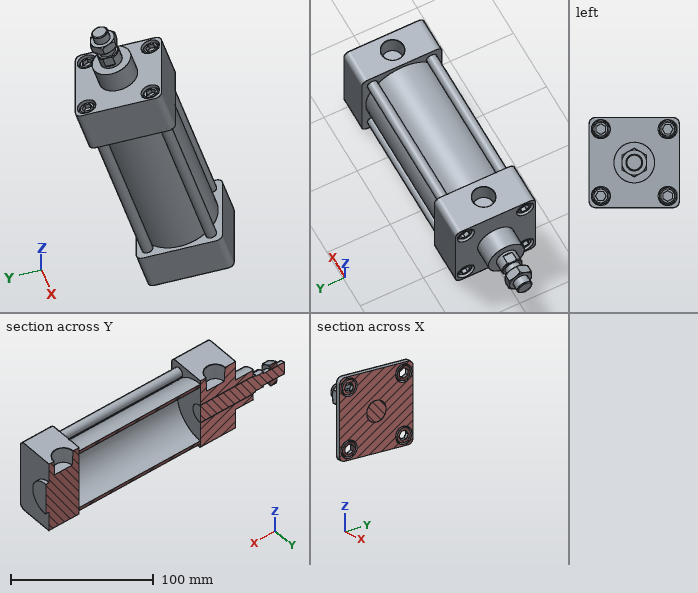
import cadquery as cq
import math

HEX_CORNER_RATIO = 1 / math.cos(math.pi / 6)

NUT_START = 6.7
ROD_SHOULDER_X = 19.0
BOSS_FACE_X = 28.0
HEAD_FRONT_X = 44.3
HEAD_BACK_X = 76.2
CAP_FRONT_X = 185.7
CAP_BACK_X = 212.9
TOTAL_LENGTH = 216.0

BLOCK_SIDE = 63.5
BLOCK_CORNER_RADIUS = 4.7
BOSS_DIAMETER = 28.5

HEAD_PORT_X = 62.5
CAP_PORT_X = 199.7
PORT_MOUTH_CHAMFER = 0.2
PORT_TOP_DIAMETER = 16.8
PORT_FLOOR_DIAMETER = 15.3
PORT_DEPTH = 13.0

TUBE_DIAMETER = 57.2
TUBE_BORE = 50.7

ROD_DIAMETER = 16.0
ROD_THREAD_DIAMETER = 11.7
ROD_CHAMFER = 0.6
ROD_FLATS_WIDTH = 14.2
ROD_FLATS_LENGTH = 7.1

NUT_ACROSS_FLATS = 17.5
NUT_THICKNESS = 6.7
NUT_CHAMFER_ANGLE = 30.0

TIE_ROD_SPACING = 46.9
TIE_ROD_DIAMETER = 8.0
TIE_ROD_HEAD_DIAMETER = 11.7
TIE_ROD_HEAD_LENGTH = 6.5
TIE_ROD_HEAD_CHAMFER = 0.97
TIE_ROD_HEAD_RECESS = 1.0
TIE_ROD_ENGAGEMENT = 13.0
SOCKET_ACROSS_FLATS = 6.5
SOCKET_DEPTH = 3.2
COUNTERBORE_DIAMETER = 13.4
COUNTERBORE_DEPTH = TIE_ROD_HEAD_RECESS + TIE_ROD_HEAD_LENGTH

TIE_ROD_HEAD_X = HEAD_FRONT_X + TIE_ROD_HEAD_RECESS
TIE_ROD_END_X = CAP_FRONT_X + TIE_ROD_ENGAGEMENT
TIE_ROD_CENTERS = [
    (y_side * TIE_ROD_SPACING / 2, z_side * TIE_ROD_SPACING / 2)
    for y_side in (-1, 1)
    for z_side in (-1, 1)
]


def section_plane(x):
    """YZ plane at station x: sketches use (Y, Z) and extrude toward +X."""
    return cq.Workplane("YZ", origin=(x, 0, 0))


def cylinder(start_x, end_x, diameter, center=(0, 0)):
    return section_plane(start_x).center(*center).circle(diameter / 2).extrude(end_x - start_x)


def hexagon(start_x, end_x, across_flats, center=(0, 0), corner_on_z=True):
    """Hexagonal prism along X with two corners on its Z axis, or on its Y axis."""
    turn = 90 if corner_on_z else 0
    prism = (
        section_plane(start_x)
        .polygon(6, across_flats * HEX_CORNER_RATIO)
        .extrude(end_x - start_x)
        .rotate((0, 0, 0), (1, 0, 0), turn)
    )
    return prism.translate((0, *center))


def end_block(start_x, end_x):
    return (
        section_plane(start_x)
        .rect(BLOCK_SIDE, BLOCK_SIDE)
        .extrude(end_x - start_x)
        .edges("|X")
        .fillet(BLOCK_CORNER_RADIUS)
    )


def port_cutter(x):
    """Blind port with a chamfered mouth, tapering toward its floor, as a solid to remove from a block."""
    top = BLOCK_SIDE / 2
    profile = [
        (0, top),
        (PORT_TOP_DIAMETER / 2 + PORT_MOUTH_CHAMFER, top),
        (PORT_TOP_DIAMETER / 2, top - PORT_MOUTH_CHAMFER),
        (PORT_FLOOR_DIAMETER / 2, top - PORT_DEPTH),
        (0, top - PORT_DEPTH),
    ]
    return cq.Workplane("XZ").polyline(profile).close().revolve(360).translate((x, 0, 0))


def make_head():
    head = end_block(HEAD_FRONT_X, HEAD_BACK_X)
    head = head.union(cylinder(BOSS_FACE_X, HEAD_FRONT_X, BOSS_DIAMETER))
    head = head.cut(cylinder(BOSS_FACE_X, HEAD_BACK_X, ROD_DIAMETER))
    head = head.cut(port_cutter(HEAD_PORT_X))
    counterbore_floor_x = HEAD_FRONT_X + COUNTERBORE_DEPTH
    for center in TIE_ROD_CENTERS:
        head = head.cut(cylinder(HEAD_FRONT_X, counterbore_floor_x, COUNTERBORE_DIAMETER, center))
        head = head.cut(cylinder(counterbore_floor_x, HEAD_BACK_X, TIE_ROD_DIAMETER, center))
    return head


def make_cap():
    cap = end_block(CAP_FRONT_X, CAP_BACK_X)
    cap = cap.union(cylinder(CAP_BACK_X, TOTAL_LENGTH, BOSS_DIAMETER))
    cap = cap.cut(port_cutter(CAP_PORT_X))
    for center in TIE_ROD_CENTERS:
        cap = cap.cut(cylinder(CAP_FRONT_X, TIE_ROD_END_X, TIE_ROD_DIAMETER, center))
    return cap


def make_tube():
    bore = cylinder(HEAD_BACK_X, CAP_FRONT_X, TUBE_BORE)
    return cylinder(HEAD_BACK_X, CAP_FRONT_X, TUBE_DIAMETER).cut(bore)


def make_piston_rod():
    thread = cylinder(0, ROD_SHOULDER_X, ROD_THREAD_DIAMETER).faces("<X").chamfer(ROD_CHAMFER)
    shank = cylinder(ROD_SHOULDER_X, HEAD_BACK_X, ROD_DIAMETER).faces("<X").chamfer(ROD_CHAMFER)
    flats_start = section_plane(ROD_SHOULDER_X)
    full_block = flats_start.rect(ROD_DIAMETER, ROD_DIAMETER).extrude(ROD_FLATS_LENGTH)
    kept_block = flats_start.rect(ROD_DIAMETER, ROD_FLATS_WIDTH).extrude(ROD_FLATS_LENGTH)
    return thread.union(shank.cut(full_block.cut(kept_block)))


def make_nut():
    """Hexagonal nut whose corners are cut back by a cone on both faces."""
    nut_end = NUT_START + NUT_THICKNESS
    face_radius = NUT_ACROSS_FLATS / 2
    corner_radius = face_radius * HEX_CORNER_RATIO
    setback = (corner_radius - face_radius) * math.tan(math.radians(NUT_CHAMFER_ANGLE))
    envelope_profile = [
        (NUT_START, 0),
        (NUT_START, face_radius),
        (NUT_START + setback, corner_radius),
        (nut_end - setback, corner_radius),
        (nut_end, face_radius),
        (nut_end, 0),
    ]
    envelope = cq.Workplane("XY").polyline(envelope_profile).close().revolve(360, (0, 0), (1, 0))
    blank = hexagon(NUT_START, nut_end, NUT_ACROSS_FLATS).intersect(envelope)
    return blank.cut(cylinder(NUT_START, nut_end, ROD_THREAD_DIAMETER))


def make_tie_rod(center):
    """Socket-head tie rod; its socket is turned a quarter turn from its neighbours'."""
    y, z = center
    shank_start_x = TIE_ROD_HEAD_X + TIE_ROD_HEAD_LENGTH
    head = cylinder(TIE_ROD_HEAD_X, shank_start_x, TIE_ROD_HEAD_DIAMETER, center)
    head = head.faces("<X").chamfer(TIE_ROD_HEAD_CHAMFER)
    shank = cylinder(shank_start_x, TIE_ROD_END_X, TIE_ROD_DIAMETER, center)
    socket = hexagon(
        TIE_ROD_HEAD_X,
        TIE_ROD_HEAD_X + SOCKET_DEPTH,
        SOCKET_ACROSS_FLATS,
        center,
        corner_on_z=y * z > 0,
    )
    return head.union(shank).cut(socket)


head = make_head()
cap = make_cap()
tube = make_tube()
piston_rod = make_piston_rod()
nut = make_nut()
tie_rods = [make_tie_rod(center) for center in TIE_ROD_CENTERS]

result = cq.Compound.makeCompound(
    [
        head.val(),
        cap.val(),
        tube.val(),
        piston_rod.val(),
        nut.val(),
        *[tie_rod.val() for tie_rod in tie_rods],
    ]
)